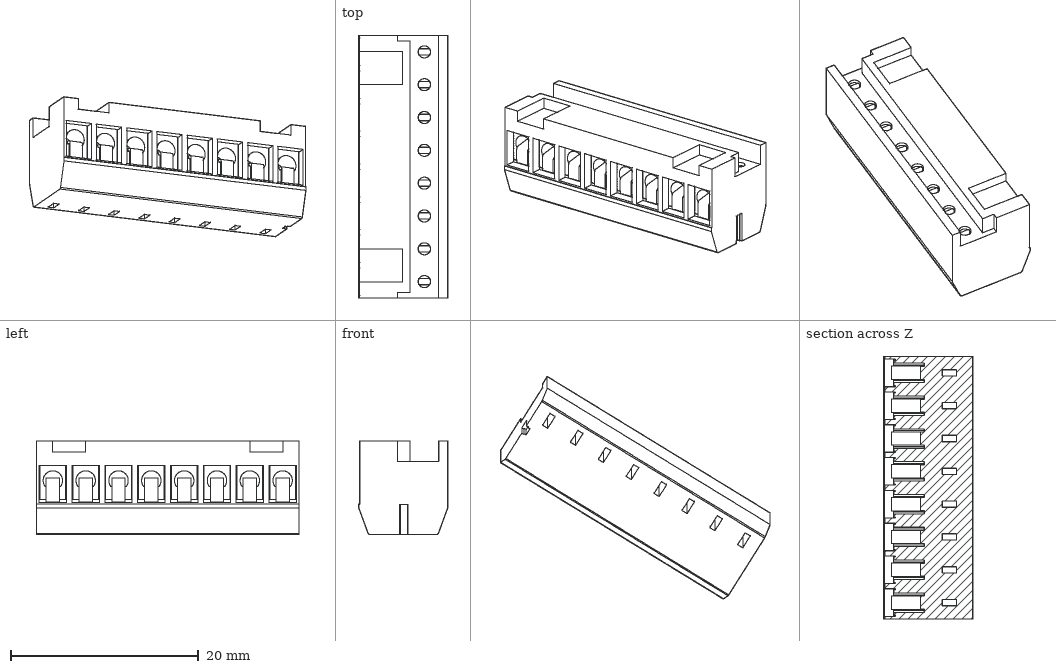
import cadquery as cq
import math

POLE_COUNT = 8
LENGTH = 28.0
PITCH = LENGTH / POLE_COUNT
POLE_CENTRES = [(i + 0.5) * PITCH - LENGTH / 2 for i in range(POLE_COUNT)]

WIDTH = 9.5
HEIGHT = 10.0
LIP = 0.08
LIP_TOP = 3.25
BEVEL_TOP = 2.83
BEVEL_RUN = 0.98
BASE_CHAMFER = 0.15
CHANNEL_FLOOR = 7.8
CHANNEL_LEFT = 5.5
CHANNEL_RIGHT = 8.5

END_NOTCH_LEFT = 4.12
END_NOTCH_LENGTH = 0.6

RECESS_RIGHT = 4.65
RECESS_LENGTH = 3.53
RECESS_DEPTH = 1.18
RECESS_OFFSET = 10.53

KEY_CENTRE = 4.82
KEY_TOP = 3.2
KEY_MOUTH_WIDTH = 0.92
KEY_MOUTH_DEPTH = 0.25
KEY_INNER_WIDTH = 0.75
KEY_DEPTH = 0.5

RELEASE_X = 7.0
RELEASE_DIAMETER = 1.3
RELEASE_MOUTH_DEPTH = 0.4
RELEASE_SLOT_LENGTH = 1.5
RELEASE_SLOT_WIDTH = 0.65

POCKET_WIDTH = 2.9
POCKET_BOTTOM = 3.42
POCKET_TOP = 7.4
PLATE_X = 1.05
PLATE_THICKNESS = 0.15
PLATE_SIDE_GAP = 0.08
PLATE_BOTTOM = 3.75
POCKET_BACK = PLATE_X + PLATE_THICKNESS

TONGUE_WIDTH = 1.43
TONGUE_PROJECTION = 0.25
TONGUE_X = PLATE_X - TONGUE_PROJECTION
ROLL_RADIUS = 0.35
FOOT_TOP = 3.85
NOSE_BOTTOM = 5.15
RAMP_ANGLE = math.radians(10)
RAMP_TOP = 6.05

WIRE_HOLE_RADIUS = 1.05
WIRE_HOLE_Z = 5.77

NOSE_END_X = TONGUE_X + ROLL_RADIUS * (1 - math.sin(RAMP_ANGLE))
NOSE_END_Z = NOSE_BOTTOM + ROLL_RADIUS * math.cos(RAMP_ANGLE)
WIRE_HOLE_END = NOSE_END_X + (RAMP_TOP - NOSE_END_Z) / math.tan(RAMP_ANGLE)


def block(x_range, y_range, z_range):
    """Box spanning the given (low, high) ranges."""
    spans = (x_range, y_range, z_range)
    sizes = [high - low for low, high in spans]
    corner = tuple(low for low, high in spans)
    return cq.Workplane("XY").box(*sizes, centered=False).translate(corner)


def centred(centre, size):
    """Range of the given size about a centre."""
    return (centre - size / 2, centre + size / 2)


def make_housing():
    outline = [
        (BEVEL_RUN, BASE_CHAMFER),
        (BEVEL_RUN + BASE_CHAMFER, 0),
        (WIDTH - BEVEL_RUN - BASE_CHAMFER, 0),
        (WIDTH - BEVEL_RUN, BASE_CHAMFER),
        (WIDTH, BEVEL_TOP),
        (WIDTH, HEIGHT),
        (CHANNEL_RIGHT, HEIGHT),
        (CHANNEL_RIGHT, CHANNEL_FLOOR),
        (CHANNEL_LEFT, CHANNEL_FLOOR),
        (CHANNEL_LEFT, HEIGHT),
        (LIP, HEIGHT),
        (LIP, LIP_TOP),
        (0, LIP_TOP),
        (0, BEVEL_TOP),
    ]
    return cq.Workplane("XZ").polyline(outline).close().extrude(LENGTH / 2, both=True)


def make_end_notch(end):
    """Notch at the end of the channel wall; end is -1 for -Y and 1 for +Y."""
    y_centre = end * (LENGTH - END_NOTCH_LENGTH) / 2
    return block(
        (END_NOTCH_LEFT, CHANNEL_LEFT), centred(y_centre, END_NOTCH_LENGTH), (CHANNEL_FLOOR, HEIGHT)
    )


def make_recess(y_centre):
    return block((0, RECESS_RIGHT), centred(y_centre, RECESS_LENGTH), (HEIGHT - RECESS_DEPTH, HEIGHT))


def make_keyway():
    end = -LENGTH / 2
    mouth = block(centred(KEY_CENTRE, KEY_MOUTH_WIDTH), (end, end + KEY_MOUTH_DEPTH), (0, KEY_TOP))
    inner = block(centred(KEY_CENTRE, KEY_INNER_WIDTH), (end, end + KEY_DEPTH), (0, KEY_TOP))
    return mouth.union(inner)


def make_release_hole(y):
    slot_top = CHANNEL_FLOOR - RELEASE_MOUTH_DEPTH
    mouth = (
        cq.Workplane("XY", origin=(RELEASE_X, y, slot_top))
        .circle(RELEASE_DIAMETER / 2)
        .extrude(RELEASE_MOUTH_DEPTH)
    )
    slot = block(centred(RELEASE_X, RELEASE_SLOT_LENGTH), centred(y, RELEASE_SLOT_WIDTH), (0, slot_top))
    return mouth.union(slot)


def make_pocket(y):
    """Wire pocket around the contact plate."""
    pocket = block((0, POCKET_BACK), centred(y, POCKET_WIDTH), (POCKET_BOTTOM, POCKET_TOP))
    plate_width = POCKET_WIDTH - 2 * PLATE_SIDE_GAP
    plate = block((PLATE_X, POCKET_BACK), centred(y, plate_width), (PLATE_BOTTOM, POCKET_TOP))
    return pocket.cut(plate)


def make_wire_hole(y):
    hole = (
        cq.Workplane("YZ", origin=(PLATE_X, y, WIRE_HOLE_Z))
        .circle(WIRE_HOLE_RADIUS)
        .extrude(WIRE_HOLE_END - PLATE_X)
    )
    below_flat = block((0, WIDTH), centred(y, PITCH), (0, NOSE_BOTTOM))
    return hole.cut(below_flat)


def make_tongue(y):
    def on_roll(z_centre, angle):
        """Point on a roll about z_centre, at an angle above its tangent to the tongue front."""
        return (
            TONGUE_X + ROLL_RADIUS * (1 - math.cos(angle)),
            z_centre + ROLL_RADIUS * math.sin(angle),
        )

    nose_angle = math.pi / 2 - RAMP_ANGLE
    profile = (
        cq.Workplane("XZ", origin=(0, y, 0))
        .moveTo(TONGUE_X + ROLL_RADIUS, FOOT_TOP - ROLL_RADIUS)
        .threePointArc(on_roll(FOOT_TOP, -math.pi / 4), (TONGUE_X, FOOT_TOP))
        .lineTo(TONGUE_X, NOSE_BOTTOM)
        .threePointArc(on_roll(NOSE_BOTTOM, nose_angle / 2), (NOSE_END_X, NOSE_END_Z))
        .lineTo(WIRE_HOLE_END, RAMP_TOP)
        .lineTo(WIRE_HOLE_END, FOOT_TOP - ROLL_RADIUS)
        .close()
    )
    return profile.extrude(TONGUE_WIDTH / 2, both=True)


result = make_housing().cut(make_keyway())

for side in (-1, 1):
    result = result.cut(make_end_notch(side))
    result = result.cut(make_recess(side * RECESS_OFFSET))

for pole_y in POLE_CENTRES:
    result = result.cut(make_release_hole(pole_y))
    result = result.cut(make_pocket(pole_y))
    result = result.cut(make_wire_hole(pole_y))
    result = result.union(make_tongue(pole_y))